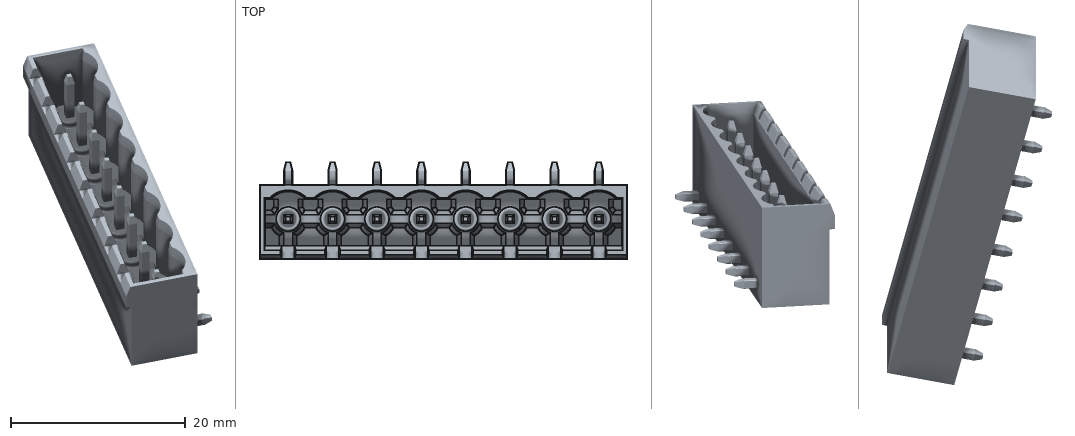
import cadquery as cq


length = 42.05
pin_count = 8
end_to_pin = 3.25
pitch = (length - 2 * end_to_pin) / (pin_count - 1)
pin_xs = [end_to_pin + i * pitch for i in range(pin_count)]
pin_y = -3.9

height = 12.0
front_y = -7.85
lip_y = -8.5
lip_height = 3.03
rim_width = 0.5
rim_depth = 1.3
rim_z = height - rim_depth

floor_z = 3.5
end_wall = 0.6
cavity_back_y = -1.65
cavity_front_y = -6.98
end_flare = 0.105
back_flare = 0.147

recess_radius = 2.77
recess_back_y = -0.75
recess_y = recess_back_y - recess_radius

rib_height = 0.5
rib_z = floor_z + rib_height
rib_width = 1.0
back_rib_width = 2.25
boss_radius = 1.4
boss_fillet = 0.25
boss_height = 0.75
boss_top_z = rib_z + boss_height
collar_radius = boss_radius + boss_fillet

notch_bottom_width = 1.45
notch_top_width = 1.75

pin_width = 1.0
pin_edge_chamfer = 0.1
pin_tip_width = 0.5
pin_tip_length = 1.0
pin_top_z = 10.75
tail_z = 2.05
tail_end_y = 2.6


def block(x_min, x_max, y_min, y_max, z_min, z_max):
    """Box between the given limits."""
    size = (x_max - x_min, y_max - y_min, z_max - z_min)
    return cq.Workplane("XY").box(*size, centered=False).translate((x_min, y_min, z_min))


def make_shell():
    """Solid block with the overhanging, chamfered lip along its front."""
    outline = [
        (0, 0),
        (front_y, 0),
        (front_y, height - lip_height),
        (lip_y, height - lip_height),
        (lip_y, rim_z),
        (lip_y + rim_width, height),
        (0, height),
    ]
    return cq.Workplane("YZ").polyline(outline).close().extrude(length)


def make_cavity():
    """Straight cavity above the floor, with its mouth flared at the rim."""
    straight = block(end_wall, length - end_wall, cavity_front_y, cavity_back_y, floor_z, height)
    straight_width = length - 2 * end_wall
    straight_depth = cavity_back_y - cavity_front_y
    mouth_width = straight_width + 2 * end_flare
    mouth_depth = straight_depth + back_flare + rim_width
    middle_y = (cavity_back_y + cavity_front_y) / 2
    mouth_shift = (back_flare - rim_width) / 2
    flare = (
        cq.Workplane("XY", origin=(length / 2, middle_y, rim_z))
        .rect(straight_width, straight_depth)
        .workplane(offset=rim_depth)
        .center(0, mouth_shift)
        .rect(mouth_width, mouth_depth)
        .loft()
    )
    return straight.union(flare)


def make_recess(x):
    """Round recess in the back wall with a flared mouth, down to the level of the rib tops."""
    profile = [
        (0, rib_z),
        (recess_radius, rib_z),
        (recess_radius, rim_z),
        (recess_radius + back_flare, height),
        (0, height),
    ]
    well = cq.Workplane("XZ").polyline(profile).close().revolve().translate((x, recess_y, 0))
    return well.intersect(block(0, length, cavity_back_y, 0, rib_z, height))


def rib_profile(plane, top_width):
    """Rib section with 45 degree flanks, drawn on the given plane."""
    half_top = top_width / 2
    half_base = half_top + rib_height
    points = [(-half_base, floor_z), (half_base, floor_z), (half_top, rib_z), (-half_top, rib_z)]
    return cq.Workplane(plane).polyline(points).close()


def make_long_rib():
    """Rib running through all the pins along the row."""
    rib = rib_profile("YZ", rib_width).extrude(length - 2 * end_wall)
    return rib.translate((end_wall, pin_y, 0))


def make_cross_ribs(x):
    """Wide rib from a pin to the back wall and narrow rib to the front wall."""
    back_rib = rib_profile("XZ", back_rib_width).extrude(cavity_back_y - pin_y)
    front_rib = rib_profile("XZ", rib_width).extrude(pin_y - cavity_front_y)
    return back_rib.translate((x, cavity_back_y, 0)).union(front_rib.translate((x, pin_y, 0)))


def make_boss(x):
    """Conical collar carrying a round boss, filleted at its foot and top edge."""
    profile = (
        cq.Workplane("XZ")
        .moveTo(0, floor_z)
        .lineTo(collar_radius + rib_height, floor_z)
        .lineTo(collar_radius, rib_z)
        .radiusArc((boss_radius, rib_z + boss_fillet), boss_fillet)
        .lineTo(boss_radius, boss_top_z - boss_fillet)
        .radiusArc((boss_radius - boss_fillet, boss_top_z), -boss_fillet)
        .lineTo(0, boss_top_z)
        .close()
    )
    return profile.revolve().translate((x, pin_y, 0))


def make_notch(x):
    """Tapered notch through the front rim."""
    half_bottom = notch_bottom_width / 2
    half_top = notch_top_width / 2
    points = [(-half_bottom, rim_z), (half_bottom, rim_z), (half_top, height), (-half_top, height)]
    notch = cq.Workplane("XZ").polyline(points).close().extrude(cavity_front_y - lip_y)
    return notch.translate((x, cavity_front_y, 0))


def make_bar(bar_length):
    """Upright square bar with chamfered edges and a tapered tip, standing on Z = 0."""
    shaft_length = bar_length - pin_tip_length
    bar = cq.Workplane("XY").rect(pin_width, pin_width).extrude(shaft_length)
    bar = bar.edges("|Z").chamfer(pin_edge_chamfer)
    tip = (
        cq.Workplane("XY", origin=(0, 0, shaft_length))
        .rect(pin_width, pin_width)
        .workplane(offset=pin_tip_length)
        .rect(pin_tip_width, pin_tip_width)
        .loft()
    )
    return bar.union(tip)


def make_pin(x):
    """Right-angle pin: an upright contact and a tail leaving through the back."""
    half_width = pin_width / 2
    contact_z = tail_z - half_width
    contact = make_bar(pin_top_z - contact_z).translate((x, pin_y, contact_z))
    tail_start_y = pin_y - half_width
    tail = make_bar(tail_end_y - tail_start_y).rotate((0, 0, 0), (1, 0, 0), -90)
    return contact.union(tail.translate((x, tail_start_y, tail_z)))


def make_housing(pins):
    """Housing with its cavity, floor relief, notches and pin holes."""
    housing = make_shell().cut(make_cavity())
    for x in pin_xs:
        housing = housing.cut(make_recess(x)).cut(make_notch(x))
    housing = housing.union(make_long_rib())
    for x in pin_xs:
        housing = housing.union(make_cross_ribs(x)).union(make_boss(x))
    for pin in pins:
        housing = housing.cut(pin)
    return housing


pins = [make_pin(x) for x in pin_xs]
housing = make_housing(pins)

result = cq.Compound.makeCompound([housing.solids().val(), *[pin.solids().val() for pin in pins]])